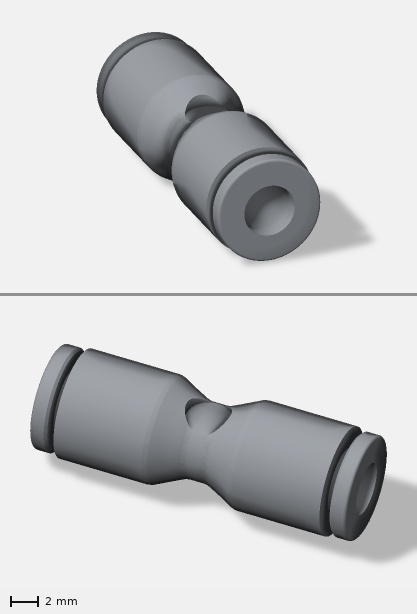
import cadquery as cq

length = 25.3
body_radius = 4.25
waist_radius = 3.0
bore_radius = 2.0

collar_radius = 4.07
collar_width = 1.35
collar_edge = 0.2
neck_radius = 2.63
neck_length = 0.65

waist_half_length = 0.84
taper_length = 2.58
taper_fillet = 0.89

recess_radius = 1.75
recess_floor = 2.45

half_length = length / 2
collar_end = half_length - collar_width
body_end = collar_end - neck_length
taper_end = waist_half_length + taper_length


def make_cylinder(radius, start, end):
    """Solid cylinder on the X axis between two X positions."""
    return cq.Workplane("YZ", origin=(start, 0, 0)).circle(radius).extrude(end - start)


def make_body():
    """Turned body with rounded tapers to the waist."""
    right_profile = [
        (waist_half_length, waist_radius),
        (taper_end, body_radius),
        (body_end, body_radius),
        (body_end, 0),
    ]
    left_profile = [(-x, radius) for x, radius in reversed(right_profile)]
    outline = cq.Workplane("XY").polyline(left_profile + right_profile).close()
    turned = outline.revolve(360, (0, 0, 0), (1, 0, 0))
    return turned.edges("%CIRCLE").edges("not(<X or >X)").fillet(taper_fillet)


def cut_recess(body):
    """Sink a round flat-bottomed recess into the waist and tapers."""
    recess = (
        cq.Workplane("XY", origin=(0, 0, recess_floor)).circle(recess_radius).extrude(body_radius)
    )
    return body.cut(recess)


def make_collar():
    """Release collar with its neck on the +X end, rounded outside and chamfered inside."""
    neck = make_cylinder(neck_radius, body_end, collar_end)
    rim = make_cylinder(collar_radius, collar_end, half_length)
    rim = rim.faces(">X").edges().fillet(collar_edge)
    rim = rim.faces("<X").edges().chamfer(collar_edge)
    return neck.union(rim)


collar = make_collar()
bore = make_cylinder(bore_radius, -half_length, half_length)
result = cut_recess(make_body()).union(collar).union(collar.mirror("YZ")).cut(bore)